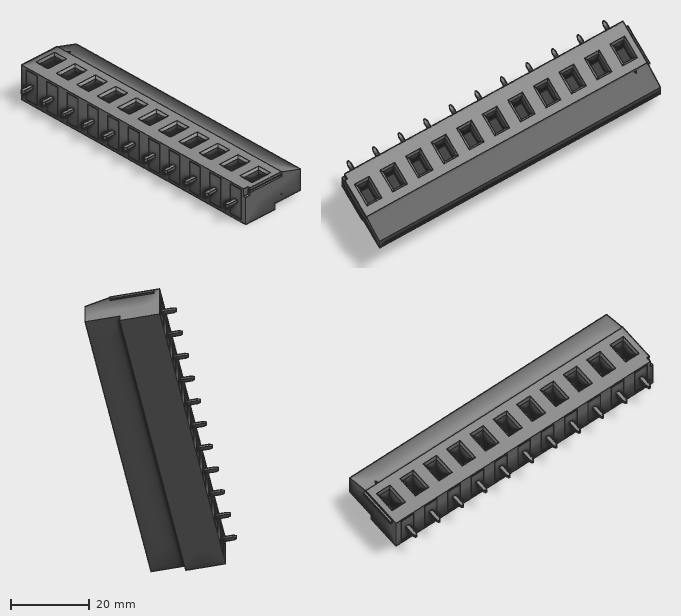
import cadquery as cq

pole_count = 11
housing_length = 82.4
housing_height = 10.5
pitch = housing_length / pole_count
half_length = housing_length / 2

housing_depth = 19.45
slab_thickness = 1.5
step_y = 10.4
step_height = 1.8
rear_top_height = 8.2
ridge_y = 12.6
ridge_width = 0.4
ridge_drop = 0.25
slope_start_y = ridge_y + ridge_width
slope_top_height = housing_height - ridge_drop

window_width = 4.0
window_margin = 0.75
window_depth = 0.2

pin_width = 1.0
pin_thickness = 0.8
pin_length = 3.6
pin_tip_width = 0.4
pin_tip_length = 0.75
pin_height = 5.5

opening_width = 4.3
opening_depth = 6.6
opening_y = 7.0
opening_floor_width = 3.15
opening_floor_depth = 5.4
taper_height = 0.7
opening_floor_height = 2.5

rail_projection = 0.6
rail_height = 0.75
rail_top_gap = 0.75
rail_end_y = 12.9
rail_bottom = housing_height - rail_top_gap - rail_height

notch_width = 0.75
notch_height = 2.25

overall_length = 83.1
nub_projection = overall_length - housing_length - rail_projection
nub_diameter = 0.25
nub_height = 3.7

mark_width = 0.75
mark_length = 0.7

pole_positions = [(i + 0.5) * pitch - half_length for i in range(pole_count)]


def block(x_min, x_max, y_min, y_max, z_min, z_max):
    size = (x_max - x_min, y_max - y_min, z_max - z_min)
    return cq.Workplane("XY").box(*size, centered=False).translate((x_min, y_min, z_min))


def make_housing():
    profile = [
        (0, 0),
        (step_y, 0),
        (step_y, step_height),
        (housing_depth, step_height),
        (housing_depth, rear_top_height),
        (slope_start_y, slope_top_height),
        (ridge_y, housing_height),
        (0, housing_height),
    ]
    outline = cq.Workplane("YZ", origin=(-half_length, 0, 0)).polyline(profile).close()
    return outline.extrude(housing_length)


def make_window(x):
    left = x - window_width / 2
    return block(left, left + window_width, 0, window_depth, window_margin, housing_height - window_margin)


def make_opening(x):
    funnel = (
        cq.Workplane("XY", origin=(x, opening_y, housing_height))
        .rect(opening_width, opening_depth)
        .workplane(offset=-taper_height)
        .rect(opening_floor_width, opening_floor_depth)
        .loft()
    )
    well = (
        cq.Workplane("XY", origin=(x, opening_y, opening_floor_height))
        .rect(opening_floor_width, opening_floor_depth)
        .extrude(housing_height - taper_height - opening_floor_height)
    )
    return funnel.union(well)


def make_pin(x):
    half_width = pin_width / 2
    half_tip = pin_tip_width / 2
    taper_start = pin_tip_length - pin_length
    outline = [
        (x - half_width, window_depth),
        (x - half_width, taper_start),
        (x - half_tip, -pin_length),
        (x + half_tip, -pin_length),
        (x + half_width, taper_start),
        (x + half_width, window_depth),
    ]
    bottom = pin_height - pin_thickness / 2
    return cq.Workplane("XY", origin=(0, 0, bottom)).polyline(outline).close().extrude(pin_thickness)


def make_mark():
    x = pole_positions[0]
    outline = [
        (x - mark_width / 2, slope_start_y),
        (x + mark_width / 2, slope_start_y),
        (x, slope_start_y + mark_length),
    ]
    prism = cq.Workplane("XY", origin=(0, 0, rear_top_height)).polyline(outline).close()
    return prism.extrude(slope_top_height - rear_top_height)


result = make_housing()
for pole_x in pole_positions:
    result = result.cut(make_window(pole_x)).cut(make_opening(pole_x)).union(make_pin(pole_x))

rail = block(
    -half_length - rail_projection,
    -half_length,
    slab_thickness,
    rail_end_y,
    rail_bottom,
    rail_bottom + rail_height,
)
groove = rail.translate((housing_length, 0, 0))
notch = block(
    half_length - notch_width,
    half_length,
    0,
    slab_thickness,
    housing_height - notch_height,
    housing_height,
)
nub = (
    cq.Workplane("YZ", origin=(half_length, ridge_y, nub_height))
    .circle(nub_diameter / 2)
    .extrude(nub_projection)
)
result = result.union(rail).cut(groove).cut(notch).union(nub).union(make_mark())